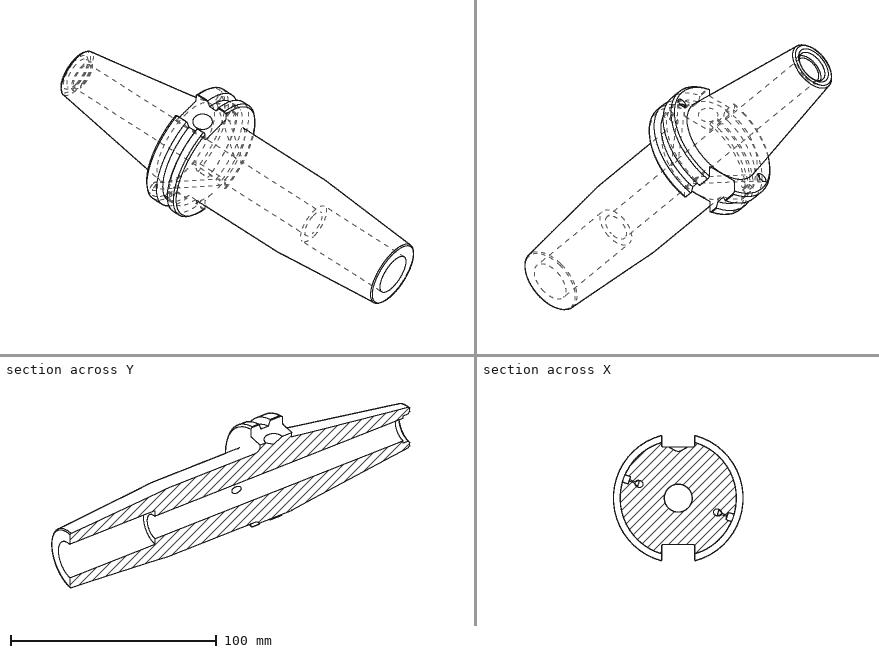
import cadquery as cq
import math

total_length = 198.2
taper_end = 68.4
flange_start = 68.8
flange_end = 87.5
nose_start = 141.0

taper_small_radius = 12.5
taper_large_radius = 22.5
taper_chamfer = 1.0
body_radius = 42.0 / 2
nose_end_radius = 16.7
nose_chamfer = 0.5
body_fillet = 2.8

flange_radius = 63.2 / 2
flange_front_chamfer = 1.2
flange_rear_chamfer = 1.0
groove_floor_radius = 28.3
groove_center = 79.3
groove_floor_width = 4.2
groove_top_width = 6.7

slot_width = 16.0
slot_corner_fillet = 0.5
slot_edge_chamfer = 0.4
upper_slot_height = 25.0
lower_slot_height = 22.6
dimple_diameter = 9.5
dimple_depth = 2.8

bore_diameter = 13.5
rear_bore_diameter = 16.3
rear_bore_depth = 4.0
rear_mouth_diameter = 19.0
rear_mouth_depth = 1.0
tool_bore_diameter = 20.2
tool_bore_depth = 49.5

channel_angle = 20.0
channel_tilt = 36.0
channel_entry_radius = 27.2
channel_mouth_diameter = 4.0
channel_mouth_depth = 2.0
channel_diameter = 3.2
plug_diameter = 4.2
plug_depth = 3.0
plug_inner_diameter = 2.4


def turned_body():
    """Revolve the outer half-profile about the X axis."""
    groove_half_floor = groove_floor_width / 2
    groove_half_top = groove_top_width / 2
    fillet_center = (flange_end + body_fillet, body_radius + body_fillet)
    fillet_offset = body_fillet * math.sqrt(0.5)
    fillet_middle = (fillet_center[0] - fillet_offset, fillet_center[1] - fillet_offset)
    profile = (
        cq.Workplane("XY")
        .moveTo(0, 0)
        .lineTo(0, taper_small_radius - taper_chamfer)
        .lineTo(taper_chamfer, taper_small_radius)
        .lineTo(taper_end, taper_large_radius)
        .lineTo(flange_start, taper_large_radius)
        .lineTo(flange_start, flange_radius - flange_front_chamfer)
        .lineTo(flange_start + flange_front_chamfer, flange_radius)
        .lineTo(groove_center - groove_half_top, flange_radius)
        .lineTo(groove_center - groove_half_floor, groove_floor_radius)
        .lineTo(groove_center + groove_half_floor, groove_floor_radius)
        .lineTo(groove_center + groove_half_top, flange_radius)
        .lineTo(flange_end - flange_rear_chamfer, flange_radius)
        .lineTo(flange_end, flange_radius - flange_rear_chamfer)
        .lineTo(flange_end, fillet_center[1])
        .threePointArc(fillet_middle, (fillet_center[0], body_radius))
        .lineTo(nose_start, body_radius)
        .lineTo(total_length - nose_chamfer, nose_end_radius)
        .lineTo(total_length, nose_end_radius - nose_chamfer)
        .lineTo(total_length, 0)
        .close()
    )
    return profile.revolve(360, (0, 0, 0), (1, 0, 0))


def axial_bore():
    """Through bore with a chamfered rear counterbore and a wider tool bore."""
    profile = (
        cq.Workplane("XY")
        .moveTo(0, 0)
        .lineTo(0, rear_mouth_diameter / 2)
        .lineTo(rear_mouth_depth, rear_bore_diameter / 2)
        .lineTo(rear_bore_depth, rear_bore_diameter / 2)
        .lineTo(rear_bore_depth, bore_diameter / 2)
        .lineTo(total_length - tool_bore_depth, bore_diameter / 2)
        .lineTo(total_length - tool_bore_depth, tool_bore_diameter / 2)
        .lineTo(total_length, tool_bore_diameter / 2)
        .lineTo(total_length, 0)
        .close()
    )
    return profile.revolve(360, (0, 0, 0), (1, 0, 0))


def drive_slot(floor_height):
    """Cutter for a slot open towards +Z, with rounded floor corners and bevelled outer edges.

    It runs on past the flange to clear the fillet behind it.
    """
    cutter_length = flange_end + body_fillet - taper_end
    half_width = slot_width / 2
    rim_height = math.sqrt(flange_radius**2 - half_width**2)
    slot = (
        cq.Workplane("XY")
        .box(cutter_length, slot_width, flange_radius, centered=(False, True, False))
        .edges("|X and <Z")
        .fillet(slot_corner_fillet)
        .translate((taper_end, 0, floor_height))
    )
    bevel_height = 2 * slot_edge_chamfer
    bevel_bottom = rim_height - slot_edge_chamfer
    bevel = (
        cq.Workplane("YZ", origin=(taper_end, 0, 0))
        .moveTo(-half_width, bevel_bottom)
        .lineTo(half_width, bevel_bottom)
        .lineTo(half_width + bevel_height, bevel_bottom + bevel_height)
        .lineTo(-half_width - bevel_height, bevel_bottom + bevel_height)
        .close()
        .extrude(cutter_length)
    )
    return slot.union(bevel)


def dimple():
    """Conical dimple sunk into the floor of the upper slot."""
    return cq.Workplane(
        cq.Solid.makeCone(
            dimple_diameter / 2,
            0,
            dimple_depth,
            cq.Vector(groove_center, 0, upper_slot_height),
            cq.Vector(0, 0, -1),
        )
    )


def drill(diameter, length, start, direction):
    return cq.Workplane(cq.Solid.makeCylinder(diameter / 2, length, start, direction))


def coolant_channel():
    """Slanted channel from the flange face to the bore, met by a stepped plug hole.

    It is laid out in the XY plane on the +Y side.
    """
    tilt = math.radians(channel_tilt)
    inward = cq.Vector(math.cos(tilt), -math.sin(tilt), 0)
    entry = cq.Vector(flange_start, channel_entry_radius, 0)
    outside = entry - inward * channel_mouth_diameter
    mouth = drill(channel_mouth_diameter, channel_mouth_diameter + channel_mouth_depth, outside, inward)
    channel = drill(channel_diameter, channel_entry_radius / math.sin(tilt), entry, inward)

    meeting_radius = channel_entry_radius - (groove_center - flange_start) * math.tan(tilt)
    plug_start = cq.Vector(groove_center, groove_floor_radius, 0)
    radially_in = cq.Vector(0, -1, 0)
    plug = drill(plug_diameter, plug_depth, plug_start, radially_in)
    link = drill(plug_inner_diameter, groove_floor_radius - meeting_radius, plug_start, radially_in)
    return mouth.union(channel).union(plug).union(link)


result = turned_body().cut(axial_bore())
result = result.cut(drive_slot(upper_slot_height))
result = result.cut(drive_slot(lower_slot_height).rotate((0, 0, 0), (1, 0, 0), 180))
result = result.cut(dimple())
for side_angle in (0, 180):
    result = result.cut(coolant_channel().rotate((0, 0, 0), (1, 0, 0), channel_angle + side_angle))